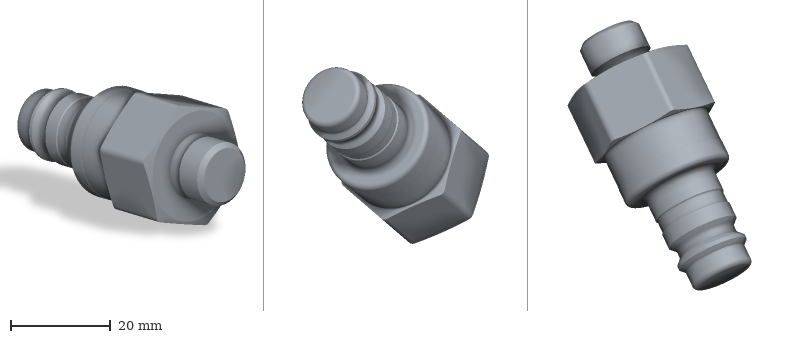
import cadquery as cq
import math

total_length = 55.4
edge_radius = 1.0

nose_dia = 13.0
neck_dia = 15.0
ring_start = 4.2
ring_crest_end = 6.0
waist_dia = 12.65
waist_end = 10.0

groove_dia = 14.5
groove_start = 13.2
groove_end = 16.2

shoulder_x = 21.35
shoulder_dia = 23.0
body_x = 25.3
body_dia = 22.8

hex_start = 32.4
hex_end = 46.4
hex_sides = 6
hex_flats = 24.0
hex_turn = -13.5
hex_corner_radius = 1.4
front_chamfer_dia = 23.95
rear_chamfer_dia = 22.8
chamfer_angle = 15.0
hex_corner_dia = hex_flats / math.cos(math.pi / hex_sides)

stud_start = 49.05
stud_dia = 13.15
stud_chamfer = 1.0
undercut_dia = 11.1

diagonal = math.sqrt(0.5)
half_bend = math.radians(45) / 2


def front_profile():
    """Half section, from the nose to the inside of the hexagon."""
    ring_rise = (neck_dia - nose_dia) / 2
    waist_drop = (neck_dia - waist_dia) / 2
    groove_depth = (neck_dia - groove_dia) / 2
    floor_setback = edge_radius * math.tan(half_bend)
    flank_setback = floor_setback * diagonal
    waist_r = waist_dia / 2
    floor_start = ring_crest_end + waist_drop
    floor_end = waist_end - waist_drop
    arc_dx = edge_radius * math.sin(half_bend)
    arc_dr = edge_radius * (1 - math.cos(half_bend))
    arc_start_x = floor_start + floor_setback
    arc_end_x = floor_end - floor_setback
    neck_r = neck_dia / 2
    round_in = edge_radius * (1 - diagonal)
    round_out = edge_radius * diagonal
    return (
        cq.Workplane("XY")
        .moveTo(0, 0)
        .lineTo(0, nose_dia / 2 - edge_radius)
        .threePointArc((round_in, nose_dia / 2 - round_in), (edge_radius, nose_dia / 2))
        .lineTo(ring_start, nose_dia / 2)
        .lineTo(ring_start + ring_rise, neck_r)
        .lineTo(ring_crest_end, neck_r)
        .lineTo(floor_start - flank_setback, waist_r + flank_setback)
        .threePointArc((arc_start_x - arc_dx, waist_r + arc_dr), (arc_start_x, waist_r))
        .lineTo(arc_end_x, waist_r)
        .threePointArc(
            (arc_end_x + arc_dx, waist_r + arc_dr),
            (floor_end + flank_setback, waist_r + flank_setback),
        )
        .lineTo(waist_end, neck_r)
        .lineTo(groove_start, neck_r)
        .lineTo(groove_start + groove_depth, groove_dia / 2)
        .lineTo(groove_end - groove_depth, groove_dia / 2)
        .lineTo(groove_end, neck_r)
        .lineTo(shoulder_x - edge_radius, neck_r)
        .threePointArc(
            (shoulder_x - edge_radius + round_out, neck_r + round_in),
            (shoulder_x, neck_r + edge_radius),
        )
        .lineTo(shoulder_x, shoulder_dia / 2 - edge_radius)
        .threePointArc(
            (shoulder_x + round_in, shoulder_dia / 2 - round_in),
            (shoulder_x + edge_radius, shoulder_dia / 2),
        )
        .lineTo(body_x, shoulder_dia / 2)
        .lineTo(body_x, body_dia / 2)
        .lineTo(hex_start, body_dia / 2)
        .lineTo(hex_start, 0)
        .close()
    )


def stud_profile():
    """Half section of the undercut and stud, from the rear face of the hexagon."""
    arc_x = stud_start - edge_radius
    arc_r = undercut_dia / 2 + edge_radius
    arc_start_x = arc_x - edge_radius * diagonal
    arc_start_r = arc_r - edge_radius * diagonal
    flank_top_r = arc_start_r + arc_start_x - hex_end
    return (
        cq.Workplane("XY")
        .moveTo(hex_end, 0)
        .lineTo(hex_end, flank_top_r)
        .lineTo(arc_start_x, arc_start_r)
        .threePointArc((arc_x, undercut_dia / 2), (stud_start, arc_r))
        .lineTo(stud_start, stud_dia / 2)
        .lineTo(total_length - stud_chamfer, stud_dia / 2)
        .lineTo(total_length, stud_dia / 2 - stud_chamfer)
        .lineTo(total_length, 0)
        .close()
    )


def revolve(profile):
    return profile.revolve(360, (0, 0, 0), (1, 0, 0))


def bevel_depth(start_dia):
    """Axial depth of an end bevel at the sharp corner of the hexagon."""
    return (hex_corner_dia - start_dia) / 2 * math.tan(math.radians(chamfer_angle))


def hexagon():
    """Hexagon with rounded corners and both end faces bevelled by cones."""
    prism = (
        cq.Workplane("YZ")
        .workplane(offset=hex_start)
        .transformed(rotate=(0, 0, hex_turn))
        .polygon(hex_sides, hex_corner_dia)
        .extrude(hex_end - hex_start)
        .edges("|X")
        .fillet(hex_corner_radius)
    )
    corner_r = hex_corner_dia / 2
    envelope = (
        cq.Workplane("XY")
        .moveTo(hex_start, 0)
        .lineTo(hex_start, front_chamfer_dia / 2)
        .lineTo(hex_start + bevel_depth(front_chamfer_dia), corner_r)
        .lineTo(hex_end - bevel_depth(rear_chamfer_dia), corner_r)
        .lineTo(hex_end, rear_chamfer_dia / 2)
        .lineTo(hex_end, 0)
        .close()
    )
    return prism.intersect(revolve(envelope))


result = revolve(front_profile()).union(hexagon()).union(revolve(stud_profile()))